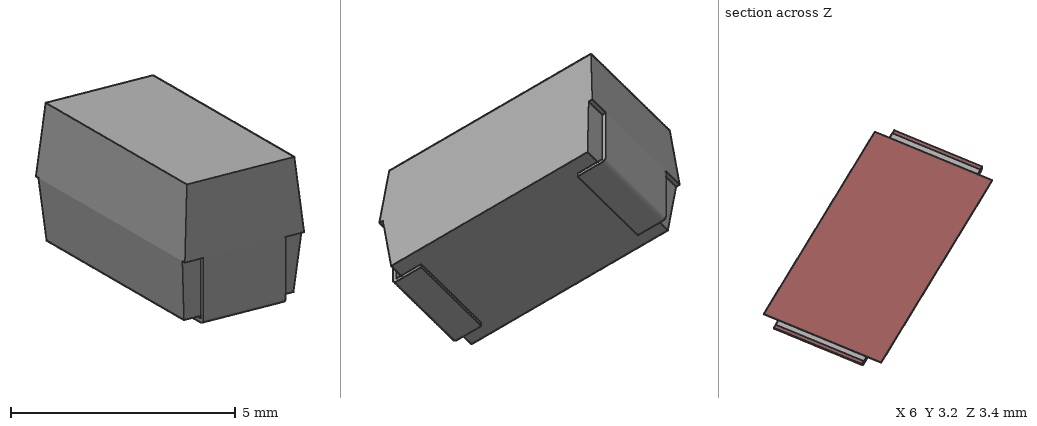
import cadquery as cq
import math

body_length = 6
body_width = 3.2
upper_height = 1.8
lower_height = 1.5
draft_angle = 5

terminal_thickness = 0.1
inner_bend_radius = 0.01
outer_bend_radius = inner_bend_radius + terminal_thickness
terminal_width = 2.2
foot_length = 0.8

lower_length = body_length - 2 * terminal_thickness
parting_z = terminal_thickness + lower_height


def tapered_half(length, width, height):
    """Rectangular frustum that starts at the parting plane; negative height points down."""
    inset = abs(height) * math.tan(math.radians(draft_angle))
    return (
        cq.Workplane("XY")
        .workplane(offset=parting_z)
        .rect(length, width)
        .workplane(offset=height)
        .rect(length - 2 * inset, width - 2 * inset)
        .loft(combine=True, ruled=True)
    )


def left_terminal():
    """L-shaped strip: upright leg, rounded bend, foot under the body."""
    outer_x = -body_length / 2
    inner_x = outer_x + terminal_thickness
    foot_end_x = outer_x + foot_length
    strip = (
        cq.Workplane("XZ")
        .moveTo(outer_x, parting_z)
        .lineTo(outer_x, 0)
        .lineTo(foot_end_x, 0)
        .lineTo(foot_end_x, terminal_thickness)
        .lineTo(inner_x, terminal_thickness)
        .lineTo(inner_x, parting_z)
        .close()
        .extrude(terminal_width / 2, both=True)
    )
    outer_corner = cq.selectors.NearestToPointSelector((outer_x, 0, 0))
    inner_corner = cq.selectors.NearestToPointSelector((inner_x, 0, terminal_thickness))
    strip = strip.edges("|Y").edges(outer_corner).fillet(outer_bend_radius)
    return strip.edges("|Y").edges(inner_corner).fillet(inner_bend_radius)


upper_half = tapered_half(body_length, body_width, upper_height)
lower_half = tapered_half(lower_length, body_width, -lower_height)
terminal = left_terminal()

result = upper_half.union(lower_half).union(terminal).union(terminal.mirror("YZ"))